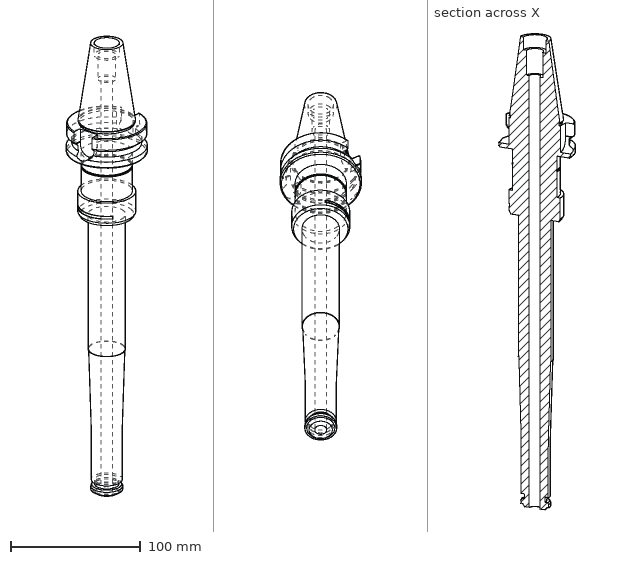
import cadquery as cq

total_length = 381.0
taper_length = 65.5
gauge_height = total_length - taper_length
flange_top = gauge_height - 2.0
flange_bottom = gauge_height - 27.0
neck_groove_bottom = 276.0
collar_top = 255.2
collar_bottom = 235.5
shank_bottom = 121.0
tip_top = 51.0
tip_bottom = 10.3
nut_top = 6.5

taper_small_dia = 25.0
taper_large_dia = 44.5
taper_relief_dia = 43.0
flange_dia = 63.0
upper_flange_dia = 62.0
groove_dia = 54.0
neck_dia = 39.5
neck_groove_dia = 38.5
collar_dia = 45.0
shank_dia = 29.0
shank_taper_dia = 28.0
tip_dia = 24.0
nut_neck_dia = 18.5
nut_dia = 24.8
nut_face_dia = 18.0
nut_cone_dia = 21.7

groove_upper_edge = 304.0
groove_floor_top = 301.0
groove_floor_bottom = 296.5
groove_lower_edge = 294.0

rim_chamfer = 1.0
upper_rim_chamfer = 0.8
collar_chamfer_height = 2.5
collar_chamfer_width = 1.5
neck_groove_width = 1.0
nut_cone_height = 2.3
nut_rim_chamfer_height = 1.5
nut_rim_chamfer_width = 0.8

slot_width = 16.0
slot_mouth_width = 18.0
slot_mouth_bottom = 303.0
slot_floor_radius = 22.5
slot_floor_fillet = 1.0
slot_bottom = 292.0

mouth_dia = 19.5
mouth_depth = 10.3
thread_dia = 13.7
thread_depth = 30.5
bore_dia = 9.0

band_bottom = 241.5
band_height = 2.3
band_depth = 0.5
band_width = 34.3


def turned_body():
    """Revolve the outer half profile, listed as (diameter, height) from nose to taper end."""
    outline = [
        (0, 0),
        (nut_face_dia, 0),
        (nut_cone_dia, nut_cone_height),
        (nut_dia, nut_cone_height),
        (nut_dia, nut_top - nut_rim_chamfer_height),
        (nut_dia - 2 * nut_rim_chamfer_width, nut_top),
        (nut_neck_dia, nut_top),
        (nut_neck_dia, tip_bottom),
        (tip_dia, tip_bottom),
        (tip_dia, tip_top),
        (shank_taper_dia, shank_bottom),
        (shank_dia, shank_bottom),
        (shank_dia, collar_bottom),
        (collar_dia - 2 * collar_chamfer_width, collar_bottom),
        (collar_dia, collar_bottom + collar_chamfer_height),
        (collar_dia, collar_top),
        (neck_dia, collar_top),
        (neck_dia, neck_groove_bottom),
        (neck_groove_dia, neck_groove_bottom),
        (neck_groove_dia, neck_groove_bottom + neck_groove_width),
        (neck_dia, neck_groove_bottom + neck_groove_width),
        (neck_dia, flange_bottom),
        (flange_dia - 2 * rim_chamfer, flange_bottom),
        (flange_dia, flange_bottom + rim_chamfer),
        (flange_dia, groove_lower_edge),
        (groove_dia, groove_floor_bottom),
        (groove_dia, groove_floor_top),
        (upper_flange_dia, groove_upper_edge),
        (upper_flange_dia, flange_top - upper_rim_chamfer),
        (upper_flange_dia - 2 * upper_rim_chamfer, flange_top),
        (taper_relief_dia, flange_top),
        (taper_relief_dia, gauge_height),
        (taper_large_dia, gauge_height),
        (taper_small_dia, total_length),
        (0, total_length),
    ]
    points = [(diameter / 2, height) for diameter, height in outline]
    return cq.Workplane("XZ").polyline(points).close().revolve(360, (0, 0), (0, 1))


def key_slot():
    """Cutter for the front slot: round-bottomed, with a wider mouth across the upper flange."""
    half_width = slot_width / 2
    arc_center = slot_bottom + half_width
    narrow_part = (
        cq.Workplane("XZ", origin=(0, -slot_floor_radius, 0))
        .moveTo(-half_width, gauge_height)
        .lineTo(-half_width, arc_center)
        .threePointArc((0, slot_bottom), (half_width, arc_center))
        .lineTo(half_width, gauge_height)
        .close()
        .extrude(flange_dia)
    )
    mouth_height = gauge_height - slot_mouth_bottom
    mouth = (
        cq.Workplane("XZ", origin=(0, -slot_floor_radius, slot_mouth_bottom + mouth_height / 2))
        .rect(slot_mouth_width, mouth_height)
        .extrude(flange_dia)
        .faces(">Y")
        .edges("|Z")
        .fillet(slot_floor_fillet)
    )
    return narrow_part.union(mouth)


def bore():
    """Through bore, widened in two steps towards the taper end."""
    cutter = cq.Workplane("XY").circle(bore_dia / 2).extrude(total_length)
    for diameter, depth in ((thread_dia, thread_depth), (mouth_dia, mouth_depth)):
        step = (
            cq.Workplane("XY", origin=(0, 0, total_length - depth))
            .circle(diameter / 2)
            .extrude(depth)
        )
        cutter = cutter.union(step)
    return cutter


def collar_band():
    """Shallow arc-shaped recess around the front of the collar."""
    ring = (
        cq.Workplane("XY", origin=(0, 0, band_bottom))
        .circle(collar_dia / 2)
        .circle(collar_dia / 2 - band_depth)
        .extrude(band_height)
    )
    window = (
        cq.Workplane("XY", origin=(0, 0, band_bottom))
        .rect(band_width, collar_dia)
        .extrude(band_height)
        .translate((0, -collar_dia / 2, 0))
    )
    return ring.intersect(window)


front_slot = key_slot()
back_slot = front_slot.mirror("XZ")
result = turned_body().cut(bore()).cut(collar_band()).cut(front_slot).cut(back_slot)